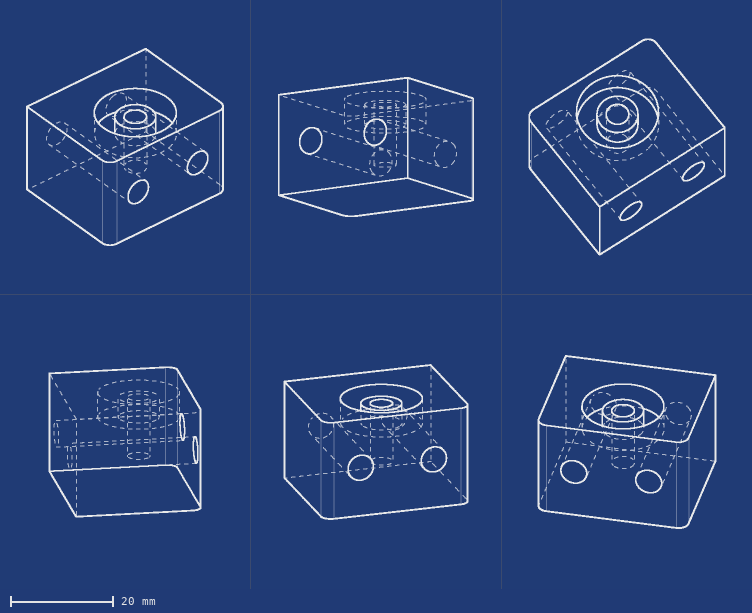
import cadquery as cq

length_x = 25.0
width_y = 30.0
height_z = 20.0
corner_radius = 2.0

pocket_diameter = 16.0
pocket_depth = 5.0
pocket_x = 15.0 - length_x / 2
post_diameter = 8.0
post_drop = 1.0
bore_diameter = 4.4
bore_depth = 12.0

cross_hole_diameter = 5.2
cross_hole_spacing = width_y / 2


def vertical_cylinder(diameter, bottom_z, top_z):
    """Cylinder on the pocket axis between two heights."""
    return (
        cq.Workplane("XY", origin=(pocket_x, 0, bottom_z))
        .circle(diameter / 2)
        .extrude(top_z - bottom_z)
    )


block = (
    cq.Workplane("XY")
    .box(length_x, width_y, height_z, centered=(True, True, False))
    .edges("|Z and >X")
    .fillet(corner_radius)
)

pocket_floor_z = height_z - pocket_depth
post_top_z = height_z - post_drop
pocket = vertical_cylinder(pocket_diameter, pocket_floor_z, height_z)
post = vertical_cylinder(post_diameter, pocket_floor_z, post_top_z)
bore = vertical_cylinder(bore_diameter, post_top_z - bore_depth, post_top_z)

cross_holes = (
    cq.Workplane("YZ", origin=(-length_x / 2, 0, height_z / 2))
    .rarray(cross_hole_spacing, 0.3, 2, 1)
    .circle(cross_hole_diameter / 2)
    .extrude(length_x)
)

result = block.cut(pocket).union(post).cut(bore).cut(cross_holes)